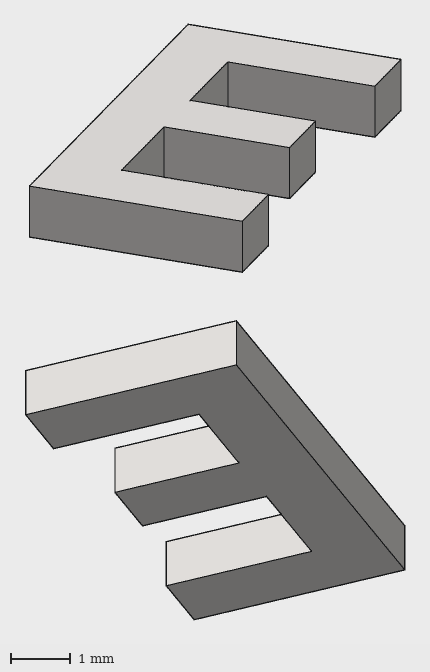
import cadquery as cq

height = 5.72
overall_width = 4.71
thickness = 1.0

outer_arm_reach = 3.73
middle_arm_reach = 3.35
stem_width = 1.155

arm_height = 0.95
middle_arm_bottom = 2.475
middle_arm_top = 3.415
top_arm_bottom = height - arm_height

lean = (overall_width - outer_arm_reach) / height


def slanted(x, y):
    """Shift an upright point sideways in proportion to its height."""
    return (x + lean * y, y)


upright_outline = [
    (0, 0),
    (outer_arm_reach, 0),
    (outer_arm_reach, arm_height),
    (stem_width, arm_height),
    (stem_width, middle_arm_bottom),
    (middle_arm_reach, middle_arm_bottom),
    (middle_arm_reach, middle_arm_top),
    (stem_width, middle_arm_top),
    (stem_width, top_arm_bottom),
    (outer_arm_reach, top_arm_bottom),
    (outer_arm_reach, height),
    (0, height),
]

result = (
    cq.Workplane("XY")
    .polyline([slanted(x, y) for x, y in upright_outline])
    .close()
    .extrude(thickness)
)